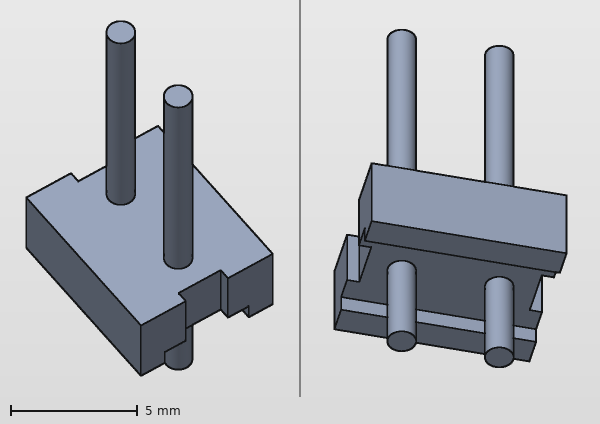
import cadquery as cq

pin_count = 2
pitch = 3.96

body_length = pin_count * pitch
body_width = 6.35
body_height = 3.175

notch_depth = 0.5
notch_width = 2.03

channel_width = 4.04
channel_height = 0.69

pin_diameter = 1.14
pin_above_body = 10.16
pin_below_body = 3.175
pin_length = pin_above_body + body_height + pin_below_body


def make_body():
    base_aligned = (True, True, False)
    body = cq.Workplane("XY").box(body_length, body_width, body_height, centered=base_aligned)
    channel = cq.Workplane("XY").box(body_length, channel_width, channel_height, centered=base_aligned)
    end_notches = (
        cq.Workplane("XY")
        .pushPoints([(-body_length / 2, 0), (body_length / 2, 0)])
        .rect(2 * notch_depth, notch_width)
        .extrude(body_height)
    )
    return body.cut(channel).cut(end_notches)


def make_pins():
    first_pin_x = -(pin_count - 1) * pitch / 2
    pin_centres = [(first_pin_x + i * pitch, 0) for i in range(pin_count)]
    return (
        cq.Workplane("XY", origin=(0, 0, -pin_below_body))
        .pushPoints(pin_centres)
        .circle(pin_diameter / 2)
        .extrude(pin_length)
    )


result = make_body().union(make_pins())